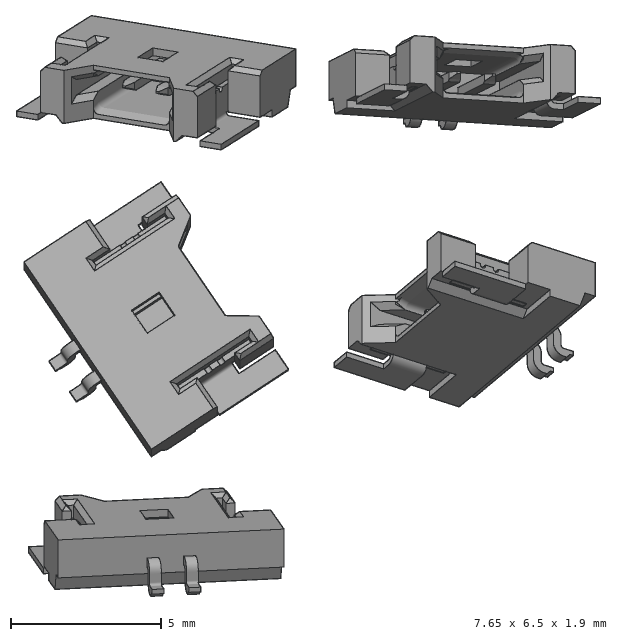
import cadquery as cq
import math


width = 7.65
height = 1.9
overall_length = 6.5
housing_length = 5.5
half_width = width / 2
housing_base = 0.03
oversize = 1.0

rear_step_z = 0.59
rear_step_y = 5.1
rear_slope_foot_y = 4.9
tab_recess_z = 0.285
tab_recess_length = 3.73
tab_recess_top_x = 2.36
tab_recess_foot_x = 2.12

bevel = 0.16
wing_front_y = 2.86
block_x = 2.93
block_rear_y = 1.36

plate_thickness = 0.2
plate_outer_x = 2.62
plate_inner_x = plate_outer_x - plate_thickness
plate_front_y = 0.66
plate_rear_y = 3.55

notch_depth = 0.92
notch_front_half = 2.05
cavity_half = 1.42
notch_slope = (notch_front_half - cavity_half) / notch_depth

cavity_floor = 0.3
cavity_roof = 1.63
cavity_rear_y = 4.6
cavity_corner = 0.2
flare_rise = 0.1
flare_length = 0.42
flare_slope = flare_rise / flare_length
roof_relief_length = 0.1

groove_half = 1.89
groove_bottom = 0.88
groove_top = 1.42
groove_chamfer = 0.21
groove_mouth_bottom = groove_bottom - groove_chamfer
groove_mouth_top = groove_top + groove_chamfer
groove_entry_y = (notch_front_half - groove_half) / notch_slope
groove_lead = groove_chamfer * math.hypot(1, notch_slope) / notch_slope

window_width = 0.94
window_front_y = 2.32
window_rear_y = 3.42

pin_pitch = 1.25
pin_width = 0.4
pin_thickness = 0.31
pin_top = 1.13
pin_bottom = pin_top - pin_thickness
pin_tip_y = 1.6
pin_tip_length = 0.39
pin_ramp_length = 0.1
pin_ramp_rise = 0.07
tip_width = 0.11
tip_bottom = 1.02
tip_top = 1.09
lead_inner_radius = 0.1
lead_outer_radius = lead_inner_radius + pin_thickness
lead_rear_y = 6.02
lead_front_y = lead_rear_y - pin_thickness
lead_end_z = 0.15
lead_flat_length = 0.13
lead_chamfer_length = 0.13

foot_inner_x = 3.03
neck_front_y = 1.45
neck_rear_y = 2.77
bend_inner_radius = 0.11
bend_outer_radius = bend_inner_radius + plate_thickness
plate_top = 1.29
dip_radius = 0.1
dip_depth = 0.14
dip_positions = (1.84, 2.35)


def box(x_range, y_range, z_range):
    """Block spanning the given ranges."""
    x0, x1 = x_range
    y0, y1 = y_range
    z0, z1 = z_range
    return cq.Workplane("XY").box(x1 - x0, y1 - y0, z1 - z0, centered=False).translate((x0, y0, z0))


def both_sides(left):
    """A feature on the -X side together with its mirror image."""
    return left.add(left.mirror("YZ")).combine()


def loft_along_y(y0, section0, y1, section1):
    """Straight-sided loft between two rectangles (x0, x1, z0, z1) normal to Y."""
    wires = []
    for y, (x0, x1, z0, z1) in ((y0, section0), (y1, section1)):
        corners = [(x0, y, z0), (x1, y, z0), (x1, y, z1), (x0, y, z1)]
        wires.append(cq.Wire.makePolygon([cq.Vector(*c) for c in corners], close=True))
    return cq.Workplane(cq.Solid.makeLoft(wires, True))


def bevelled_opening(x_range, y_range):
    """Opening cut from the top right through, widening by the bevel at the top face."""
    x0, x1 = x_range
    y0, y1 = y_range
    shaft = box(x_range, y_range, (-oversize, height))
    top = (
        cq.Workplane("XY", origin=((x0 + x1) / 2, (y0 + y1) / 2, height))
        .rect(x1 - x0 + 2 * bevel, y1 - y0 + 2 * bevel)
        .workplane(offset=-bevel)
        .rect(x1 - x0, y1 - y0)
        .loft(ruled=True)
    )
    return shaft.union(top)



def housing_blank():
    outline = [
        (0, housing_base),
        (rear_slope_foot_y, housing_base),
        (rear_step_y, rear_step_z),
        (housing_length, rear_step_z),
        (housing_length, height),
        (0, height),
    ]
    return cq.Workplane("YZ").polyline(outline).close().extrude(half_width, both=True)


def side_openings():
    """Plate slots, the gaps beside them and the clearance outside the front blocks."""
    outside = -half_width - oversize
    slot = bevelled_opening((-plate_outer_x, -plate_inner_x), (plate_front_y, plate_rear_y))
    gap = bevelled_opening((outside, -plate_outer_x), (block_rear_y, wing_front_y))
    clearance = bevelled_opening((outside, -block_x), (-oversize, wing_front_y))
    return both_sides(slot.union(gap).union(clearance))


def tab_recesses():
    outside = -half_width - oversize
    outline = [
        (outside, housing_base),
        (-tab_recess_foot_x, housing_base),
        (-tab_recess_top_x, tab_recess_z),
        (outside, tab_recess_z),
    ]
    recess = cq.Workplane("XZ").polyline(outline).close().extrude(-tab_recess_length)
    return both_sides(recess)


def notch_prism(depth):
    """Tapering entry notch through the full height, run to the given depth."""
    half_at_depth = notch_front_half - notch_slope * depth
    outline = [
        (-notch_front_half, 0),
        (notch_front_half, 0),
        (half_at_depth, depth),
        (-half_at_depth, depth),
    ]
    return cq.Workplane("XY").polyline(outline).close().extrude(height)


def roof_relief():
    """Carries the notch's slanted walls on under the roof, square up to the flared roof surface."""
    relief_end_y = notch_depth + roof_relief_length
    mouth_roof_z = cavity_roof + flare_rise
    relief_floor_z = cavity_roof - cavity_corner
    outline = [
        (notch_depth, relief_floor_z),
        (notch_depth, mouth_roof_z),
        (relief_end_y, mouth_roof_z - flare_slope * roof_relief_length),
        (relief_end_y, relief_floor_z),
    ]
    wedge = cq.Workplane("YZ").polyline(outline).close().extrude(cavity_half, both=True)
    return wedge.intersect(notch_prism(relief_end_y))


def cavity():
    """Rounded cavity whose floor and roof flare apart towards the mouth."""
    flare_rear_y = notch_depth + flare_length
    full_rise = flare_slope * flare_rear_y
    outline = [
        (0, cavity_floor - full_rise),
        (flare_rear_y, cavity_floor),
        (cavity_rear_y, cavity_floor),
        (cavity_rear_y, cavity_roof),
        (flare_rear_y, cavity_roof),
        (0, cavity_roof + full_rise),
    ]
    body = cq.Workplane("YZ").polyline(outline).close().extrude(cavity_half, both=True)
    return body.faces("<X or >X").edges("not(|Z)").fillet(cavity_corner)


def grooves():
    """Side grooves with a lead-in that follows the notch's slanted walls."""
    def slanted_wire(extra_y, z0, z1):
        """Upright rectangle parallel to the slanted wall, moved back by extra_y."""
        outer_y = groove_entry_y + extra_y
        inner_y = notch_depth + extra_y
        corners = [
            (-groove_half, outer_y, z0),
            (-cavity_half, inner_y, z0),
            (-cavity_half, inner_y, z1),
            (-groove_half, outer_y, z1),
        ]
        return cq.Wire.makePolygon([cq.Vector(*c) for c in corners], close=True)

    mouth = slanted_wire(0, groove_mouth_bottom, groove_mouth_top)
    throat = slanted_wire(groove_lead, groove_bottom, groove_top)
    lead_in = cq.Workplane(cq.Solid.makeLoft([mouth, throat], True))
    outline = [
        (-groove_half, groove_entry_y + groove_lead),
        (-cavity_half, notch_depth + groove_lead),
        (0, notch_depth + groove_lead),
        (0, cavity_rear_y),
        (-groove_half, cavity_rear_y),
    ]
    run = (
        cq.Workplane("XY", origin=(0, 0, groove_bottom))
        .polyline(outline).close()
        .extrude(groove_top - groove_bottom)
    )
    return both_sides(run.union(lead_in))


def roof_window():
    half = window_width / 2
    return box((-half, half), (window_front_y, window_rear_y), (cavity_roof - cavity_corner, height))



def pin(x_centre):
    """Contact with a pyramidal tip and a cranked lead ending in a solder foot."""
    ramp_y = pin_tip_y + pin_tip_length
    full_y = ramp_y + pin_ramp_length
    half = pin_width / 2
    foot_top = pin_thickness
    chamfer_y = overall_length - lead_flat_length
    r_in = lead_inner_radius
    r_out = lead_outer_radius
    bar_and_lead = (
        cq.Workplane("YZ", origin=(-half, 0, 0))
        .moveTo(full_y, pin_top)
        .lineTo(lead_rear_y - r_out, pin_top)
        .radiusArc((lead_rear_y, pin_top - r_out), r_out)
        .lineTo(lead_rear_y, foot_top + r_in)
        .radiusArc((lead_rear_y + r_in, foot_top), -r_in)
        .lineTo(overall_length, foot_top)
        .lineTo(overall_length, lead_end_z)
        .lineTo(chamfer_y, lead_end_z)
        .lineTo(chamfer_y - lead_chamfer_length, 0)
        .lineTo(lead_front_y + r_out, 0)
        .radiusArc((lead_front_y, r_out), r_out)
        .lineTo(lead_front_y, pin_bottom - r_in)
        .radiusArc((lead_front_y - r_in, pin_bottom), -r_in)
        .lineTo(full_y, pin_bottom)
        .close()
        .extrude(pin_width)
    )
    tip_face = (-tip_width / 2, tip_width / 2, tip_bottom, tip_top)
    tip_root = (-half, half, pin_bottom + pin_ramp_rise, pin_top)
    bar_face = (-half, half, pin_bottom, pin_top)
    tip = loft_along_y(pin_tip_y, tip_face, ramp_y, tip_root)
    ramp = loft_along_y(ramp_y, tip_root, full_y, bar_face)
    return bar_and_lead.union(ramp).union(tip).translate((x_centre, 0, 0))



def left_tab():
    """L-shaped solder foot bent up into a plate that stands in the housing's slot."""
    bend_x = -plate_inner_x - bend_outer_radius
    foot = box((-half_width, -foot_inner_x), (0, neck_rear_y), (0, plate_thickness))
    neck = (
        cq.Workplane("XZ", origin=(0, neck_front_y, 0))
        .moveTo(-foot_inner_x, 0)
        .lineTo(bend_x, 0)
        .radiusArc((-plate_inner_x, bend_outer_radius), -bend_outer_radius)
        .lineTo(-plate_outer_x, bend_outer_radius)
        .radiusArc((bend_x, plate_thickness), bend_inner_radius)
        .lineTo(-foot_inner_x, plate_thickness)
        .close()
        .extrude(neck_front_y - neck_rear_y)
    )
    plate = box(
        (-plate_outer_x, -plate_inner_x),
        (plate_front_y, plate_rear_y),
        (bend_outer_radius, plate_top),
    )
    for y in dip_positions:
        dip = (
            cq.Workplane("YZ", origin=(-plate_outer_x, y, plate_top))
            .slot2D(2 * dip_depth, 2 * dip_radius, 90)
            .extrude(plate_thickness)
        )
        plate = plate.cut(dip)
    return foot.union(neck).union(plate)



pins = [pin(side * pin_pitch / 2) for side in (-1, 1)]
tab = left_tab()
tabs = [tab, tab.mirror("YZ")]

housing = housing_blank()
for opening in (
    side_openings(),
    tab_recesses(),
    notch_prism(notch_depth),
    cavity(),
    roof_relief(),
    grooves(),
    roof_window(),
    *pins,
):
    housing = housing.cut(opening)

result = cq.Compound.makeCompound([body.val() for body in (housing, *pins, *tabs)])